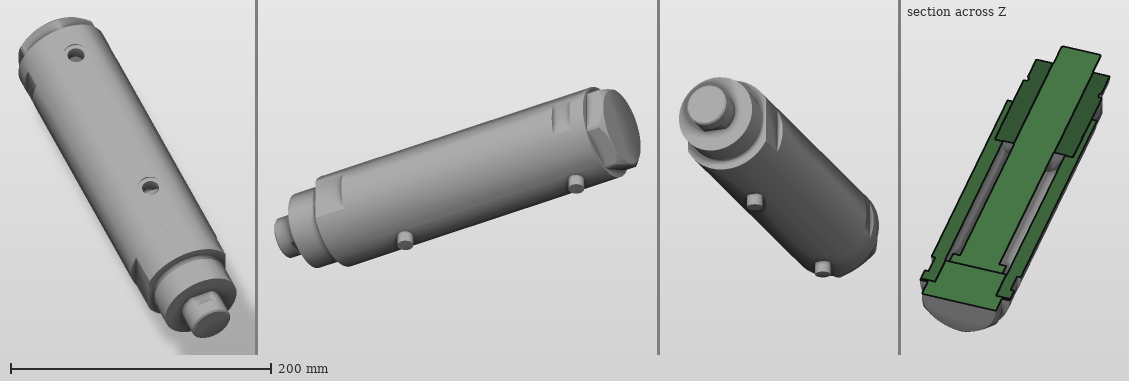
import cadquery as cq
import math


overall_length = 297.5
body_radius = 36.45
bore_radius = 25.0

hex_across_flats = 60.5
hex_across_corners = 68.5
hex_length = 14.3
hex_face_radius = 29.8
hex_chamfer_length = 4.0
flange_thickness = 2.5
plug_end_x = 41.6

tube_end_x = 226.7
wrench_slot_x = 26.2
wrench_slot_length = 15.5
wrench_slot_depth = 3.0
port_centers_x = (plug_end_x, 182.0)
port_diameter = 13.0
spotface_diameter = 20.0
spotface_depth = 1.2
pin_centers_x = (40.2, 190.5)
pin_diameter = 12.2
pin_protrusion = 8.5

guide_radius = 31.5
collar_length = 25.3
collar_across_flats = 64.0
groove_width = 3.3
groove_radius = 28.5
groove_cone_radius = 29.5
groove_cone_length = 1.0
ring_radius = 30.0
ring_chamfer = 1.0
ring_end_x = 277.0

rod_radius = 16.0
rod_nose_radius = 21.7
rod_nose_length = 9.0
rod_chamfer = 1.2
rod_across_flats = 27.0
rod_flat_length = 9.8

flange_end_x = hex_length + flange_thickness
collar_end_x = tube_end_x + collar_length
ring_start_x = collar_end_x + groove_width
head_start_x = port_centers_x[1]
stock_size = 3 * body_radius


def cylinder(start_x, end_x, radius):
    """Cylinder about the X axis between two stations."""
    return cq.Workplane("YZ", origin=(start_x, 0, 0)).circle(radius).extrude(end_x - start_x)


def block(start_x, end_x, size_y, size_z):
    """Box centred on the X axis between two stations."""
    return cq.Workplane("YZ", origin=(start_x, 0, 0)).rect(size_y, size_z).extrude(end_x - start_x)


def outside_block(start_x, end_x, size_y, size_z):
    """Everything around a centred block over a length of the X axis; cutting with it leaves flats."""
    return block(start_x, end_x, stock_size, stock_size).cut(block(start_x, end_x, size_y, size_z))


def make_cap():
    """Chamfered hexagon, flange and the plug that closes the bore."""
    sharp_corner_diameter = hex_across_flats / math.cos(math.pi / 6)
    hexagon = (
        cq.Workplane("YZ")
        .polygon(6, sharp_corner_diameter)
        .extrude(hex_length)
        .rotate((0, 0, 0), (1, 0, 0), 90)
    )
    corner_radius = hex_across_corners / 2
    envelope = (
        cq.Workplane("XY")
        .moveTo(0, 0)
        .lineTo(0, hex_face_radius)
        .lineTo(hex_chamfer_length, corner_radius)
        .lineTo(hex_length, corner_radius)
        .lineTo(hex_length, 0)
        .close()
        .revolve(360, (0, 0, 0), (1, 0, 0))
    )
    flange = cylinder(hex_length, flange_end_x, body_radius)
    plug = cylinder(flange_end_x, plug_end_x, bore_radius)
    return hexagon.intersect(envelope).union(flange).union(plug)


def make_tube():
    """Tube with a stepped bore, side wrench slots, two ports on top and two pins underneath."""
    tube = cylinder(flange_end_x, tube_end_x, body_radius)

    for x in pin_centers_x:
        pin = (
            cq.Workplane("XY", origin=(x, 0, -body_radius - pin_protrusion))
            .circle(pin_diameter / 2)
            .extrude(body_radius + pin_protrusion)
        )
        tube = tube.union(pin)
    tube = tube.cut(cylinder(flange_end_x, head_start_x, bore_radius))
    tube = tube.cut(cylinder(head_start_x, tube_end_x, guide_radius))

    slot_width = 2 * (body_radius - wrench_slot_depth)
    slot_end_x = wrench_slot_x + wrench_slot_length
    tube = tube.cut(outside_block(wrench_slot_x, slot_end_x, slot_width, stock_size))

    spotface_z = body_radius - spotface_depth
    for x in port_centers_x:
        port = cq.Workplane("XY", origin=(x, 0, 0)).circle(port_diameter / 2).extrude(body_radius)
        spotface = (
            cq.Workplane("XY", origin=(x, 0, spotface_z))
            .circle(spotface_diameter / 2)
            .extrude(body_radius)
        )
        tube = tube.cut(port).cut(spotface)
    return tube


def make_head():
    """Guide in the bore, flatted collar, groove and end ring, bored for the rod."""
    guide = cylinder(head_start_x, tube_end_x, guide_radius)
    collar = cylinder(tube_end_x, collar_end_x, body_radius).intersect(
        block(tube_end_x, collar_end_x, collar_across_flats, stock_size)
    )
    groove = cylinder(collar_end_x, ring_start_x, groove_radius)
    groove_cone = (
        cq.Workplane("YZ", origin=(collar_end_x, 0, 0))
        .circle(groove_cone_radius)
        .workplane(offset=groove_cone_length)
        .circle(groove_radius)
        .loft()
    )
    ring = cylinder(ring_start_x, ring_end_x, ring_radius).faces("<X").chamfer(ring_chamfer)
    rod_hole = cylinder(head_start_x, ring_end_x, rod_radius)
    head = guide.union(collar).union(groove).union(groove_cone).union(ring)
    return head.cut(rod_hole)


def make_rod():
    """Rod with a thicker inner nose, a chamfered outer end and two flats beside the head."""
    nose_end_x = plug_end_x + rod_nose_length
    nose = cylinder(plug_end_x, nose_end_x, rod_nose_radius)
    shaft = cylinder(nose_end_x, overall_length, rod_radius).faces(">X").chamfer(rod_chamfer)
    flats = outside_block(
        ring_end_x, ring_end_x + rod_flat_length, stock_size, rod_across_flats
    )
    return nose.union(shaft).cut(flats)


cap = make_cap()
tube = make_tube()
head = make_head()
rod = make_rod()

result = cq.Compound.makeCompound([cap.val(), tube.val(), head.val(), rod.val()])